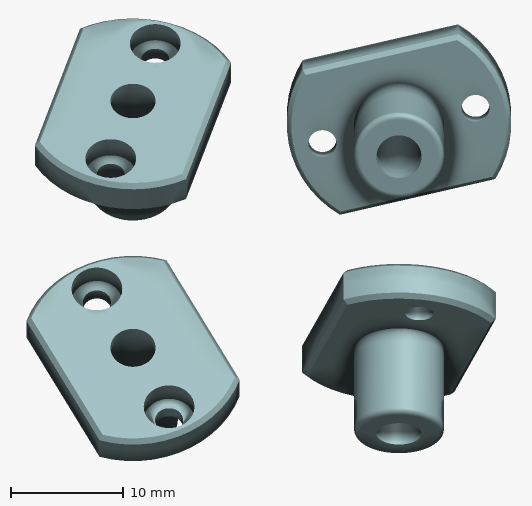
import cadquery as cq

flange_diameter = 19.93
flange_width = 14.0
flange_thickness = 3.5
flange_chamfer = 0.4

overall_height = 12.0
shank_diameter = 8.0
shank_end_fillet = 0.5
shank_length = overall_height - flange_thickness

bore_diameter = 4.0
screw_hole_diameter = 2.5
counterbore_diameter = 4.5
counterbore_depth = 2.2
screw_spacing = 14.0


def make_flange():
    disc = cq.Workplane("XY").circle(flange_diameter / 2).extrude(flange_thickness)
    flats = cq.Workplane("XY").rect(flange_width, flange_diameter).extrude(flange_thickness)
    flange = disc.intersect(flats).faces("<Z or >Z").edges().chamfer(flange_chamfer)
    return flange.translate((0, 0, shank_length))


def make_shank():
    shank = cq.Workplane("XY").circle(shank_diameter / 2).extrude(shank_length)
    return shank.faces("<Z").edges().fillet(shank_end_fillet)


body = make_flange().union(make_shank())

body = body.cut(cq.Workplane("XY").circle(bore_diameter / 2).extrude(overall_height))

result = (
    body.faces(">Z")
    .workplane(origin=(0, 0, overall_height))
    .pushPoints([(0, -screw_spacing / 2), (0, screw_spacing / 2)])
    .cboreHole(screw_hole_diameter, counterbore_diameter, counterbore_depth)
)